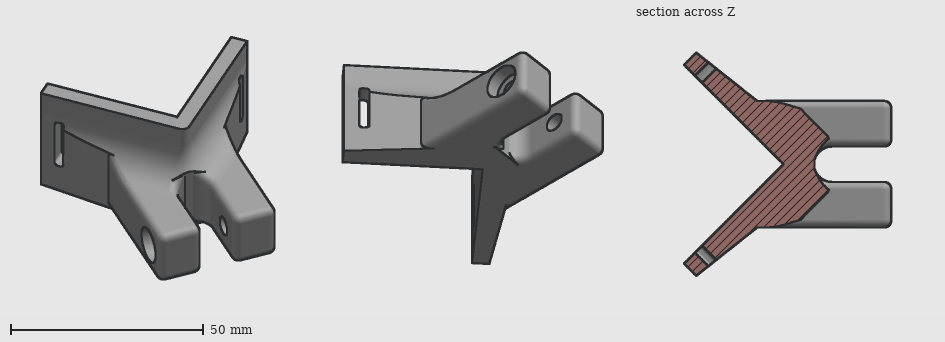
import cadquery as cq
import math

DIAGONAL = math.sqrt(0.5)
TOLERANCE = 0.01

leg_length = 41.0
plate_thickness = 4.5
plate_height = 30.0
corner_radius = 2.0

arm_end_x = 21.72
clevis_width = 33.0
clevis_height = 15.0
clevis_gap = 9.1
gap_center_x = 6.15
web_end_x = 1.75
edge_radius = 2.0

blend_radius = 9.0

gusset_length_x = 15.73

pivot_diameter = 5.1
counterbore_diameter = 9.6
counterbore_depth = 4.0
pivot_from_end = 7.5

slot_width = 2.6
slot_length = 14.0
slot_corner_radius = 1.0
slot_from_leg_end = 5.3

leg_end = leg_length * DIAGONAL
thickness_xy = plate_thickness * DIAGONAL
inner_corner_x = -plate_thickness / DIAGONAL
corner_axis_x = -corner_radius / DIAGONAL
half_width = clevis_width / 2
half_gap = clevis_gap / 2
gap_tip_x = gap_center_x - half_gap
blend_top_z = clevis_height + blend_radius
embed = plate_thickness / 2


def prism(outline, height):
    return cq.Workplane("XY").polyline(outline).close().extrude(height)


def make_plate():
    outline = [
        (0, 0),
        (-leg_end, leg_end),
        (-leg_end - thickness_xy, leg_end - thickness_xy),
        (inner_corner_x, 0),
        (-leg_end - thickness_xy, thickness_xy - leg_end),
        (-leg_end, -leg_end),
    ]
    return prism(outline, plate_height).edges("|Z").edges(">X").fillet(corner_radius)


def blend_section(side):
    """Section under the concave blend: local x points out of the leg, local y is up."""
    plane = cq.Plane(
        origin=(corner_axis_x, 0, 0),
        xDir=(DIAGONAL, side * DIAGONAL, 0),
        normal=(side * DIAGONAL, -DIAGONAL, 0),
    )
    face = corner_radius
    foot = corner_radius + blend_radius
    arc_middle = blend_radius * (1 - DIAGONAL)
    return (
        cq.Workplane(plane)
        .lineTo(foot, 0)
        .lineTo(foot, clevis_height)
        .threePointArc((face + arc_middle, clevis_height + arc_middle), (face, blend_top_z))
        .lineTo(0, blend_top_z)
        .close()
    )


def make_blend():
    """Blend along both legs, turned around the rounded corner between them."""
    blend = blend_section(-1).revolve(90, (0, 0, 0), (0, 1, 0))
    for side in (1, -1):
        blend = blend.union(blend_section(side).extrude(-side * leg_length))
    return blend


def make_clevis(blend):
    """Solid clevis block, topped by the blend where it meets the plate."""
    outline = [
        (-embed, 0),
        (-half_width - embed, half_width),
        (arm_end_x, half_width),
        (arm_end_x, -half_width),
        (-half_width - embed, -half_width),
    ]
    return prism(outline, clevis_height).union(prism(outline, plate_height).intersect(blend))


def make_gap():
    channel_length = arm_end_x - gap_center_x
    gap = cq.Workplane("XY").center(gap_center_x, 0)
    channel = gap.center(channel_length / 2, 0).rect(channel_length, clevis_gap).extrude(plate_height)
    return channel.union(gap.circle(half_gap).extrude(plate_height))


def round_arms(clevis):
    """Round the side edges, the end edges and the gap rims of the arms."""
    edges = []
    for edge in clevis.edges().vals():
        box = edge.BoundingBox()
        middle_y = abs(edge.Center().y)
        on_end = box.xmin > arm_end_x - TOLERANCE
        on_side = abs(middle_y - half_width) < TOLERANCE and box.xmax > -half_width + TOLERANCE
        on_gap = middle_y < half_gap + TOLERANCE and box.xmin > gap_tip_x - TOLERANCE
        is_gap_rim = on_gap and box.xlen > TOLERANCE
        if on_end or on_side or is_gap_rim:
            edges.append(edge)
    return clevis.newObject(edges).fillet(edge_radius)


def make_web(clevis):
    """Sharp-edged middle of the clevis, with a flat face closing the gap."""
    web_length = web_end_x - inner_corner_x
    reach = cq.Workplane("XY").center(web_end_x - web_length / 2, 0)
    return clevis.intersect(reach.rect(web_length, clevis_gap).extrude(plate_height))


def make_gusset(side, blend):
    """Wedge from the leg end to the clevis side, carried on below the rounded side edges."""
    run_per_rise = gusset_length_x / (leg_end - half_width)
    inner_y = half_width - edge_radius
    inner_x = -leg_end + run_per_rise * (leg_end - inner_y)
    outline = [
        (-leg_end, side * leg_end),
        (inner_x, side * inner_y),
        (-inner_y - embed, side * inner_y),
        (-leg_end - thickness_xy / 2, side * (leg_end - thickness_xy / 2)),
    ]
    return prism(outline, plate_height).intersect(blend)


def make_pivot_hole():
    def cylinder(diameter, start_y, length):
        center = (arm_end_x - pivot_from_end, start_y, clevis_height / 2)
        return cq.Workplane("XZ", origin=center).circle(diameter / 2).extrude(length)

    hole = cylinder(pivot_diameter, half_width, clevis_width)
    for side in (1, -1):
        hole = hole.union(cylinder(counterbore_diameter, side * half_width, side * counterbore_depth))
    return hole


def make_strap_slot(side):
    along_leg = leg_length - plate_thickness - slot_from_leg_end
    plane = cq.Plane(
        origin=(inner_corner_x - along_leg * DIAGONAL, side * along_leg * DIAGONAL, plate_height / 2),
        xDir=(-DIAGONAL, side * DIAGONAL, 0),
        normal=(DIAGONAL, side * DIAGONAL, 0),
    )
    slot = cq.Workplane(plane).rect(slot_width, slot_length).extrude(2 * plate_thickness, both=True)
    return slot.edges(cq.selectors.ParallelDirSelector(plane.zDir)).fillet(slot_corner_radius)


blend = make_blend()
block = make_clevis(blend)
result = round_arms(block.cut(make_gap())).union(make_web(block)).union(make_plate())
for side in (1, -1):
    result = result.union(make_gusset(side, blend)).cut(make_strap_slot(side))
result = result.cut(make_pivot_hole())